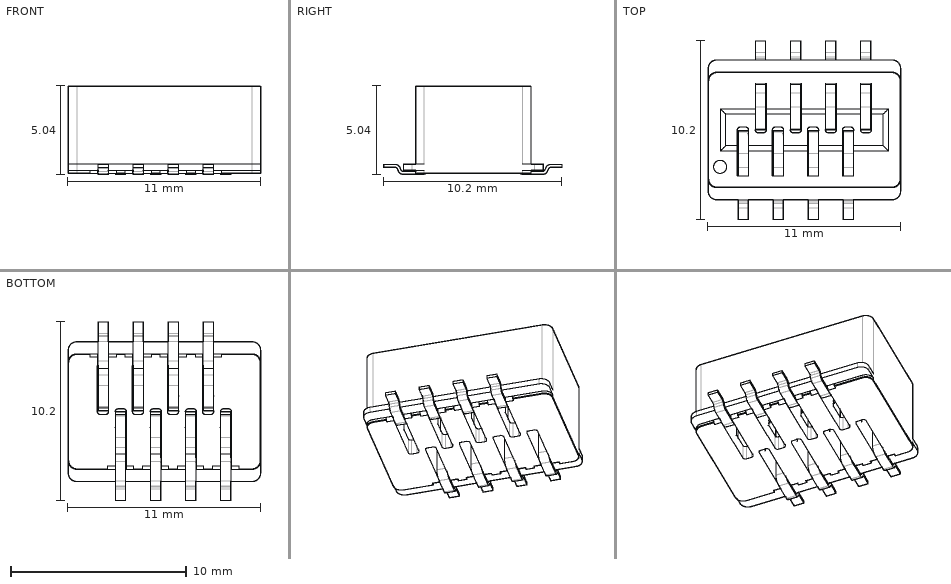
import cadquery as cq
import math

length = 11.0
width = 6.6
height = 5.0
corner_radius = 0.5
flange_width = 8.0
flange_bottom = 0.19
flange_top = 0.55
edge_chamfer = 0.03

housing_shift = 0.02

recess_length = 9.0
recess_width = 1.8
recess_chamfer = 0.3
recess_floor = 1.0

mark_diameter = 0.75
mark_depth = 0.05
mark_x = -4.82
mark_y = -2.11

contacts_per_row = 4
contact_pitch = 2.0
first_contact_x = -2.51
contact_width = 0.59
strip_thickness = 0.18

slot_width = 0.63
slot_outer_end = 2.63
slot_inner_end = -0.15
slot_end_radius = 0.15
relief_width = 1.5

span_over_feet = 10.2
foot_end = span_over_feet / 2
upright_face = 2.61
foot_length = 0.65
foot_top = 0.54
tail_bottom = -0.04
tail_bend_radius = 0.28
s_bend_radius = 0.13
s_bend_angle = 65.0
arch_top = 4.93
arch_outer_radius = 0.6
arch_inner_radius = 0.76
arch_joint_angle = 10.7
arm_angle = 57.0
arm_end = 0.11
tip_bend_radius = 0.05
tip_angle = 75.0
tip_length = 0.24

contact_xs = [first_contact_x + i * contact_pitch for i in range(contacts_per_row)]
slot_offset = (slot_width - contact_width) / 2


def opposite_row(shape):
    """A shape of the +Y row turned into its place in the -Y row."""
    return shape.rotate((0, 0, 0), (0, 0, 1), 180)


def rounded_plate(plate_width, bottom, top):
    """Full-length plate with rounded vertical corners."""
    return (
        cq.Workplane("XY", origin=(0, 0, bottom))
        .rect(length, plate_width)
        .extrude(top - bottom)
        .edges("|Z")
        .fillet(corner_radius)
    )


def recess_tool():
    """Rectangular well with a chamfered mouth."""
    well = cq.Workplane("XY", origin=(0, 0, recess_floor)).rect(recess_length, recess_width)
    mouth = cq.Workplane("XY", origin=(0, 0, height)).rect(
        recess_length + 2 * recess_chamfer, recess_width + 2 * recess_chamfer
    )
    return well.extrude(height - recess_floor).union(mouth.extrude(-recess_chamfer, taper=45))


def slot_tool(x):
    """Through slot, tail channel and sloped bottom relief for the +Y contact at x."""
    slot_x = x + slot_offset
    slot_length = slot_outer_end - slot_inner_end
    slot = (
        cq.Workplane("XY")
        .center(slot_x, slot_inner_end + slot_length / 2)
        .rect(slot_width, slot_length)
        .extrude(height)
        .edges("|Z and <Y")
        .fillet(slot_end_radius)
    )
    bend_end = slot_outer_end + tail_bend_radius
    bend_top = flange_bottom + tail_bend_radius
    bend_side = tail_bend_radius * (1 - math.sqrt(0.5))
    channel = (
        cq.Workplane("YZ", origin=(slot_x - slot_width / 2, 0, 0))
        .moveTo(slot_outer_end, 0)
        .lineTo(width / 2, 0)
        .lineTo(width / 2, flange_bottom)
        .lineTo(bend_end, flange_bottom)
        .threePointArc(
            (slot_outer_end + bend_side, flange_bottom + bend_side),
            (slot_outer_end, bend_top),
        )
        .close()
        .extrude(slot_width)
    )
    relief = (
        cq.Workplane("YZ", origin=(x - relief_width / 2, 0, 0))
        .moveTo(width / 2, 0)
        .lineTo(width / 2, flange_bottom)
        .lineTo(width / 2 - flange_bottom, 0)
        .close()
        .extrude(relief_width)
    )
    return slot.union(channel).union(relief)


def make_housing():
    """Housing with recess, slots and mark."""
    body = rounded_plate(width, 0, height).faces("<Z or >Z").chamfer(edge_chamfer)
    body = body.union(rounded_plate(flange_width, flange_bottom, flange_top))
    body = body.cut(recess_tool())
    for x in contact_xs:
        slot = slot_tool(x)
        body = body.cut(slot).cut(opposite_row(slot))
    mark = (
        cq.Workplane("XY", origin=(mark_x, mark_y, height))
        .circle(mark_diameter / 2)
        .extrude(-mark_depth)
    )
    return body.cut(mark).translate((0, housing_shift, 0))


def sine(degrees):
    return math.sin(math.radians(degrees))


def cosine(degrees):
    return math.cos(math.radians(degrees))


def bent_strip(start, heading, steps):
    """Strip in the YZ plane, walked along its middle line and made contact_width thick in X.

    Each step is (length, 0) for a straight, or (inside radius, turn in degrees) for a bend.
    A turn to the left is positive.
    """
    half = strip_thickness / 2

    def side_points(y, z, direction):
        """Points on the left and right surfaces beside a point of the middle line."""
        across = (-half * sine(direction), half * cosine(direction))
        return (y + across[0], z + across[1]), (y - across[0], z - across[1])

    y, z = start
    left_points = [side_points(y, z, heading)[0]]
    right_points = [side_points(y, z, heading)[1]]
    for size, turn in steps:
        for _ in range(2):
            chord = size / 2 if turn == 0 else 2 * (size + half) * sine(abs(turn) / 4)
            y += chord * cosine(heading + turn / 4)
            z += chord * sine(heading + turn / 4)
            heading += turn / 2
            left, right = side_points(y, z, heading)
            left_points.append(left)
            right_points.append(right)

    def draw_side(outline, points, turns):
        """Continue the outline along one surface; points hold a middle and an end per step."""
        for i, turn in enumerate(turns):
            middle, end = points[2 * i + 1], points[2 * i + 2]
            outline = outline.lineTo(*end) if turn == 0 else outline.threePointArc(middle, end)
        return outline

    turns = [turn for _, turn in steps]
    outline = cq.Workplane("YZ", origin=(-contact_width / 2, 0, 0)).moveTo(*left_points[0])
    outline = draw_side(outline, left_points, turns)
    outline = outline.lineTo(*right_points[-1])
    outline = draw_side(outline, right_points[::-1], turns[::-1])
    return outline.close().extrude(contact_width)


def make_contact():
    """One contact of the +Y row, centred on X = 0."""
    tail_top = tail_bottom + strip_thickness
    s_radius = s_bend_radius + strip_thickness / 2
    s_drop = foot_top - tail_top
    s_straight = (s_drop - 2 * s_radius * (1 - cosine(s_bend_angle))) / sine(s_bend_angle)
    s_run = 2 * s_radius * sine(s_bend_angle) + s_straight * cosine(s_bend_angle)
    tail_length = foot_end - foot_length - s_run - upright_face - tail_bend_radius

    outer_turn = 90 - arch_joint_angle
    inner_turn = arch_joint_angle + arm_angle
    arch_rise = arch_outer_radius * sine(outer_turn) + arch_inner_radius * (1 - cosine(arch_joint_angle))
    arch_run = arch_outer_radius * (1 - cosine(outer_turn)) + arch_inner_radius * (
        sine(arch_joint_angle) + sine(arm_angle)
    )
    upright_length = arch_top - arch_rise - tail_top - tail_bend_radius
    arm_length = (upright_face - arch_run - arm_end) / cosine(arm_angle)

    return bent_strip(
        start=(foot_end, foot_top - strip_thickness / 2),
        heading=180,
        steps=[
            (foot_length, 0),
            (s_bend_radius, s_bend_angle),
            (s_straight, 0),
            (s_bend_radius, -s_bend_angle),
            (tail_length, 0),
            (tail_bend_radius, -90),
            (upright_length, 0),
            (arch_outer_radius - strip_thickness, outer_turn),
            (arch_inner_radius - strip_thickness, inner_turn),
            (arm_length, 0),
            (tip_bend_radius, tip_angle - arm_angle),
            (tip_length, 0),
        ],
    )


def make_contacts():
    """Separate solids of both rows."""
    contact_at_centre = make_contact().val()
    solids = []
    for x in contact_xs:
        contact = contact_at_centre.translate((x, 0, 0))
        solids.append(contact)
        solids.append(opposite_row(contact))
    return solids


housing = make_housing()
contacts = make_contacts()

result = cq.Compound.makeCompound([housing.val(), *contacts])